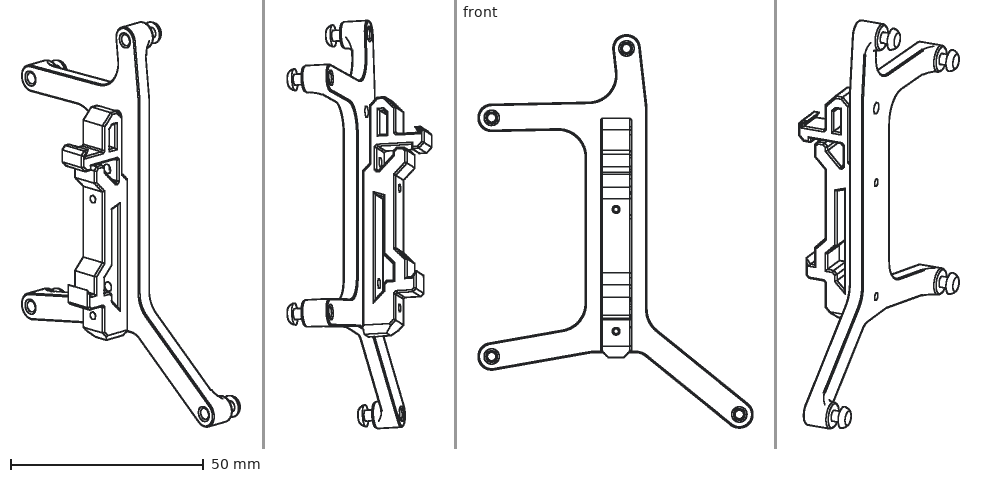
import cadquery as cq
import math

SPINE_CENTRE = 0.15
SPINE_WIDTH = 16.0
SPINE_BOTTOM = -31.4
FRONT_Y = 2.6
ARM_THICK = 4.0
BACK_Y = FRONT_Y + ARM_THICK
BOSS_BACK_Y = 9.8
BOSS_DIAMETER = 7.0
BOSS_RADIUS = BOSS_DIAMETER / 2
HEIGHT = 101.9
OUTER_BOSS_Z = HEIGHT / 2 - BOSS_RADIUS
INNER_FILLET = 7.0
FOOT_FILLET = 4.1
FLARE_RADIUS = 2.0
EDGE_CHAMFER = 0.3
BOSS_CHAMFER = 0.5
BOSS_HOLE_D = 3.0
BOSS_RIM_D = 4.0
BOSS_RIM_DEPTH = 0.3
SPINE_HOLE_D = 3.0
SPINE_HOLE_Z = 26.4

TOP_ARM = (2.9, OUTER_BOSS_Z, -83.5)
UPPER_LEFT_ARM = (-32.1, 29.5, 1.2)
LOWER_LEFT_ARM = (-32.1, -32.4, 10.0)
LOWER_RIGHT_ARM = (32.1, -OUTER_BOSS_Z, 141.0)
ARMS = [TOP_ARM, UPPER_LEFT_ARM, LOWER_LEFT_ARM, LOWER_RIGHT_ARM]

BOARD_SHAFT_D = 2.9
BOARD_TIP_D = 2.2
BOARD_TIP_DEPTH = 2.5
BOARD_HEAD_D = 5.7
BOARD_HEAD_MID_D = 5.0
BOARD_HEAD_TOP_D = 3.8
BOARD_HEAD_Y = 12.4
BOARD_HEAD_MID_Y = 13.3
BOARD_HEAD_TOP_Y = 14.0

CLIP_WIDTH = 8.0
CLIP_CHAMFER = 0.46
FOOT_CHAMFER = 2.0
RELIEF = 0.4
CLIP_SCREW_D = 1.9
CLIP_SCREW_TIP_D = 1.3
CLIP_SCREW_TIP_DEPTH = 1.5
CLIP_SCREW_PITCH = 31.6
CLIP_SCREW_Z = 5.7
CLIP_SCREW_HEIGHTS = [CLIP_SCREW_Z, CLIP_SCREW_Z - CLIP_SCREW_PITCH]
WALL_HOLE_D = 2.4
WALL_HOLE_PITCH = 32.0
WALL_HOLE_Z = 12.8
WALL_HOLE_HEIGHTS = [WALL_HOLE_Z, WALL_HOLE_Z - WALL_HOLE_PITCH]

CLIP_BACK_Y = 0.76
WINDOW_BACK_Y = -0.76
SLOT_BACK_Y = -1.1
WINDOW_FRONT_Y = -3.0
FOOT_FRONT_Y = -3.4
CLIP_FRONT_Y = -6.3
SHELF_Y = -9.4
LOWER_HOOK_Y = -11.8
UPPER_HOOK_Y = -14.0

CLIP_TOP = 29.3
UPPER_ARM_TOP = 19.5
UPPER_ARM_BOTTOM = 16.4
CATCH_TOP = 15.8
SLOT_BOTTOM = 10.0
LOWER_HOOK_FLOOR = -18.5
LOWER_HOOK_BOTTOM = -22.5
CLIP_BOTTOM = -32.7

CLIP_OUTLINE = [
    (FRONT_Y, CLIP_BOTTOM),
    (FRONT_Y, 10.1),
    (CLIP_BACK_Y, 11.9),
    (CLIP_BACK_Y, 27.3),
    (-1.3, CLIP_TOP),
    (-3.4, CLIP_TOP),
    (CLIP_FRONT_Y, 26.4),
    (CLIP_FRONT_Y, UPPER_ARM_TOP + RELIEF),
    (CLIP_FRONT_Y - RELIEF, UPPER_ARM_TOP),
    (-12.5, UPPER_ARM_TOP),
    (-11.5, 21.0),
    (-12.9, 21.0),
    (UPPER_HOOK_Y, 20.0),
    (UPPER_HOOK_Y, 16.7),
    (-12.5, 15.3),
    (-10.6, 15.3),
    (-10.6, UPPER_ARM_BOTTOM),
    (SLOT_BACK_Y - RELIEF, UPPER_ARM_BOTTOM),
    (SLOT_BACK_Y, UPPER_ARM_BOTTOM - RELIEF),
    (SLOT_BACK_Y, SLOT_BOTTOM + RELIEF),
    (SLOT_BACK_Y - RELIEF, SLOT_BOTTOM),
    (-1.7, SLOT_BOTTOM),
    (-5.6, 13.9),
    (-5.6, 14.9),
    (-6.5, CATCH_TOP),
    (-8.5, CATCH_TOP),
    (SHELF_Y, 14.9),
    (SHELF_Y, 11.5),
    (CLIP_FRONT_Y, 8.5),
    (CLIP_FRONT_Y, -10.7),
    (SHELF_Y, -13.8),
    (SHELF_Y, LOWER_HOOK_FLOOR),
    (-10.6, LOWER_HOOK_FLOOR),
    (LOWER_HOOK_Y, -17.0),
    (LOWER_HOOK_Y, -21.7),
    (-11.0, LOWER_HOOK_BOTTOM),
    (CLIP_FRONT_Y - RELIEF, LOWER_HOOK_BOTTOM),
    (CLIP_FRONT_Y, LOWER_HOOK_BOTTOM - RELIEF),
    (CLIP_FRONT_Y, -29.8),
    (FOOT_FRONT_Y, CLIP_BOTTOM),
]

UPPER_WINDOW = [
    (-1.9, UPPER_ARM_TOP),
    (-1.9, 25.9),
    (-3.0, 25.9),
    (-3.9, 25.0),
    (-3.9, UPPER_ARM_TOP),
]

LOWER_WINDOW = [
    (WINDOW_BACK_Y, -23.9),
    (WINDOW_BACK_Y, 3.8),
    (WINDOW_FRONT_Y, 3.1),
    (WINDOW_FRONT_Y, -12.1),
    (-5.7, -14.9),
    (-5.7, -19.2),
    (-3.9, -19.2),
    (WINDOW_FRONT_Y, -20.1),
    (WINDOW_FRONT_Y, -21.8),
]


def cylinder(x, z, y_start, y_end, diameter):
    """Round bar along Y."""
    plane = cq.Workplane("XZ", origin=(x, y_start, z))
    return plane.circle(diameter / 2).extrude(y_start - y_end)


def cone(x, z, y_start, y_end, d_start, d_end):
    """Tapered round bar along Y."""
    profile = [(0, y_start), (d_start / 2, y_start), (d_end / 2, y_end), (0, y_end)]
    solid = cq.Workplane("XY").polyline(profile).close().revolve(360, (0, 0), (0, 1))
    return solid.translate((x, 0, z))


def heading(arm):
    """Unit vector in X and Z from the boss to the spine."""
    angle = math.radians(arm[2])
    return math.cos(angle), math.sin(angle)


def arm_edge(arm, side):
    """Tangent point of an arm's edge on its boss: side is 1 left of the arm's heading, -1 right."""
    ux, uz = heading(arm)
    return arm[0] - side * BOSS_RADIUS * uz, arm[1] + side * BOSS_RADIUS * ux


def edge_at_x(arm, side, x):
    """Point where an arm's edge reaches the given X."""
    px, pz = arm_edge(arm, side)
    ux, uz = heading(arm)
    return x, pz + (x - px) * uz / ux


def edge_at_z(arm, side, z):
    """Point where an arm's edge reaches the given Z."""
    px, pz = arm_edge(arm, side)
    ux, uz = heading(arm)
    return px + (z - pz) * ux / uz, z


def edges_meet(arm_a, side_a, arm_b, side_b):
    """Point where the edges of two arms cross."""
    ax, az = arm_edge(arm_a, side_a)
    bx, bz = arm_edge(arm_b, side_b)
    ux, uz = heading(arm_a)
    vx, vz = heading(arm_b)
    reach = ((bx - ax) * vz - (bz - az) * vx) / (ux * vz - uz * vx)
    return ax + reach * ux, az + reach * uz


SPINE_LEFT = SPINE_CENTRE - SPINE_WIDTH / 2
SPINE_RIGHT = SPINE_CENTRE + SPINE_WIDTH / 2
CROTCH = edges_meet(TOP_ARM, -1, UPPER_LEFT_ARM, 1)
UPPER_LEFT_CORNER = edge_at_x(UPPER_LEFT_ARM, -1, SPINE_LEFT)
LOWER_LEFT_CORNER = edge_at_x(LOWER_LEFT_ARM, 1, SPINE_LEFT)
FOOT_LEFT = edge_at_z(LOWER_LEFT_ARM, -1, SPINE_BOTTOM)
FOOT_RIGHT = edge_at_z(LOWER_RIGHT_ARM, 1, SPINE_BOTTOM)
LOWER_RIGHT_CORNER = edge_at_x(LOWER_RIGHT_ARM, -1, SPINE_RIGHT)
SHOULDER = edge_at_x(TOP_ARM, 1, SPINE_RIGHT)


def arm_plate(y_start, y_end):
    """Spine and arms as one plate, with its corners rounded."""
    corners_after_arm = [
        [CROTCH],
        [UPPER_LEFT_CORNER, LOWER_LEFT_CORNER],
        [FOOT_LEFT, FOOT_RIGHT],
        [LOWER_RIGHT_CORNER],
    ]
    outline = cq.Workplane("XZ", origin=(0, y_start, 0)).moveTo(*SHOULDER)
    for arm, corners in zip(ARMS, corners_after_arm):
        ux, uz = heading(arm)
        tip = (arm[0] - BOSS_RADIUS * ux, arm[1] - BOSS_RADIUS * uz)
        outline = outline.lineTo(*arm_edge(arm, 1)).threePointArc(tip, arm_edge(arm, -1))
        for corner in corners:
            outline = outline.lineTo(*corner)
    plate = outline.close().extrude(y_start - y_end)

    rounded = [(CROTCH, INNER_FILLET), (UPPER_LEFT_CORNER, INNER_FILLET)]
    rounded += [(LOWER_LEFT_CORNER, INNER_FILLET), (LOWER_RIGHT_CORNER, INNER_FILLET)]
    rounded += [(FOOT_RIGHT, FOOT_FILLET)]
    for (x, z), radius in rounded:
        nearest = cq.NearestToPointSelector((x, (y_start + y_end) / 2, z))
        plate = plate.edges("|Y").edges(nearest).fillet(radius)
    return plate


def boss(arm):
    """Round post at the end of an arm, bevelled at the back."""
    x, z = arm[:2]
    post = cylinder(x, z, FRONT_Y + EDGE_CHAMFER, BOSS_BACK_Y, 2 * BOSS_RADIUS)
    return post.faces(">Y").edges().chamfer(BOSS_CHAMFER, EDGE_CHAMFER)


def flare(arm):
    """Concave blend that rises from the arm's back face to the boss."""
    foot = BOSS_RADIUS + FLARE_RADIUS
    bend = FLARE_RADIUS * (1 - math.sqrt(0.5))
    base_y = BACK_Y - EDGE_CHAMFER
    ring = (
        cq.Workplane("XY")
        .moveTo(0, base_y)
        .lineTo(foot, base_y)
        .lineTo(foot, BACK_Y)
        .threePointArc((BOSS_RADIUS + bend, BACK_Y + bend), (BOSS_RADIUS, BACK_Y + FLARE_RADIUS))
        .lineTo(0, BACK_Y + FLARE_RADIUS)
        .close()
        .revolve(360, (0, 0), (0, 1))
    )
    return ring.translate((arm[0], 0, arm[1]))


def make_bracket():
    """Spine with four arms, their bosses and all screw holes."""
    body = arm_plate(FRONT_Y, BACK_Y)
    body = body.faces("<Y or >Y").edges().chamfer(EDGE_CHAMFER)
    flare_limit = arm_plate(FRONT_Y, BOSS_BACK_Y)
    for arm in ARMS:
        body = body.union(flare(arm).intersect(flare_limit)).union(boss(arm))
    rim_y = FRONT_Y + BOSS_RIM_DEPTH
    for x, z, _ in ARMS:
        body = body.cut(cylinder(x, z, FRONT_Y, BOSS_BACK_Y, BOSS_HOLE_D))
        body = body.cut(cone(x, z, FRONT_Y, rim_y, BOSS_RIM_D, BOSS_HOLE_D))
    body = body.cut(cylinder(SPINE_CENTRE, SPINE_HOLE_Z, FRONT_Y, BACK_Y, SPINE_HOLE_D))
    for z in CLIP_SCREW_HEIGHTS:
        body = body.cut(cylinder(SPINE_CENTRE, z, FRONT_Y, BACK_Y, CLIP_SCREW_D))
    return body


def make_board_screw(arm):
    """Screw through a boss, with a rounded, flat-topped head behind it."""
    x, z = arm[:2]
    tip_y = FRONT_Y + BOARD_TIP_DEPTH
    taper_y = tip_y + (BOARD_SHAFT_D - BOARD_TIP_D) / 2
    tip = cone(x, z, tip_y, taper_y, BOARD_TIP_D, BOARD_SHAFT_D)
    shaft = cylinder(x, z, taper_y, BOARD_HEAD_Y, BOARD_SHAFT_D)
    bulge = (BOARD_HEAD_MID_D / 2, BOARD_HEAD_MID_Y)
    head = (
        cq.Workplane("XY")
        .moveTo(0, BOARD_HEAD_Y)
        .lineTo(BOARD_HEAD_D / 2, BOARD_HEAD_Y)
        .threePointArc(bulge, (BOARD_HEAD_TOP_D / 2, BOARD_HEAD_TOP_Y))
        .lineTo(0, BOARD_HEAD_TOP_Y)
        .close()
        .revolve(360, (0, 0), (0, 1))
        .translate((x, 0, z))
    )
    return tip.union(shaft).union(head)


def make_clip_screw(z):
    """Headless screw that holds the clip on the spine, flush with the spine's back face."""
    tip_y = CLIP_FRONT_Y + CLIP_SCREW_TIP_DEPTH
    taper_y = tip_y + (CLIP_SCREW_D - CLIP_SCREW_TIP_D) / 2
    tip = cone(SPINE_CENTRE, z, tip_y, taper_y, CLIP_SCREW_TIP_D, CLIP_SCREW_D)
    return tip.union(cylinder(SPINE_CENTRE, z, taper_y, BACK_Y, CLIP_SCREW_D))


def clip_prism(points):
    """Solid over the clip's width from a (Y, Z) outline."""
    plane = cq.Workplane("YZ", origin=(SPINE_CENTRE - CLIP_WIDTH / 2, 0, 0))
    return plane.polyline(points).close().extrude(CLIP_WIDTH)


def foot_bevel(side):
    """Wedge to cut from a lower corner of the clip: side is 1 at +X, -1 at -X."""
    corner_x = SPINE_CENTRE + side * CLIP_WIDTH / 2
    triangle = [
        (corner_x, CLIP_BOTTOM),
        (corner_x, CLIP_BOTTOM + FOOT_CHAMFER),
        (corner_x - side * FOOT_CHAMFER, CLIP_BOTTOM),
    ]
    plane = cq.Workplane("XZ", origin=(0, FRONT_Y, 0))
    return plane.polyline(triangle).close().extrude(FRONT_Y - CLIP_FRONT_Y)


def make_clip():
    """Rail clip with two hooks, screwed to the front of the spine."""
    body = clip_prism(CLIP_OUTLINE).cut(clip_prism(UPPER_WINDOW)).cut(clip_prism(LOWER_WINDOW))
    body = body.faces("<X or >X").chamfer(CLIP_CHAMFER)
    for side in (-1, 1):
        body = body.cut(foot_bevel(side))
    for z in CLIP_SCREW_HEIGHTS:
        body = body.cut(cylinder(SPINE_CENTRE, z, CLIP_FRONT_Y, FRONT_Y, CLIP_SCREW_D))
    for z in WALL_HOLE_HEIGHTS:
        body = body.cut(cylinder(SPINE_CENTRE, z, SLOT_BACK_Y, FRONT_Y, WALL_HOLE_D))
    return body


bracket = make_bracket()
clip = make_clip()
board_screws = [make_board_screw(arm).val() for arm in ARMS]
clip_screws = [make_clip_screw(z).val() for z in CLIP_SCREW_HEIGHTS]
result = cq.Compound.makeCompound([bracket.val(), clip.val(), *board_screws, *clip_screws])